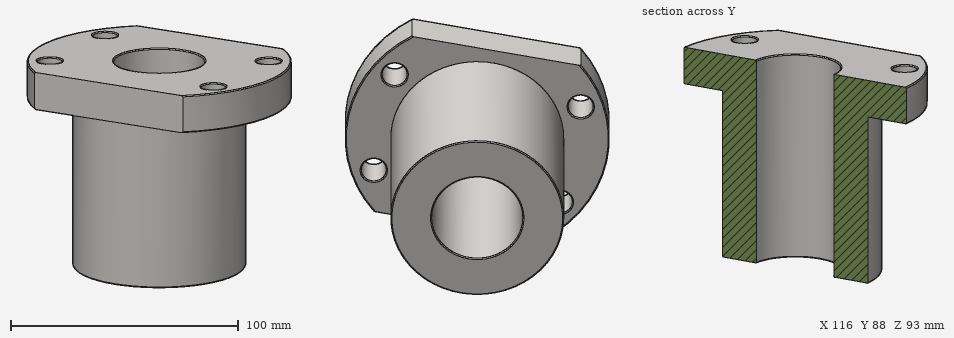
import cadquery as cq

flange_diameter = 116.0
flats_width = 88.0
flange_thickness = 16.9
total_height = 93.0
body_diameter = 76.0
bore_diameter = 40.0
bolt_hole_diameter = 11.0
bolt_circle_diameter = 96.0
bolt_angles = (30, 150, 210, 330)
edge_chamfer = 0.5

flange_bottom = total_height - flange_thickness


def chamfered_cylinder(diameter, bottom, height):
    """Upright cylinder with both rims broken by the edge chamfer."""
    cylinder = cq.Workplane("XY").workplane(offset=bottom).circle(diameter / 2).extrude(height)
    return cylinder.faces("<Z or >Z").edges().chamfer(edge_chamfer)


def chamfered_hole(diameter, bottom, height):
    """Cutter for a through hole that widens by the edge chamfer at both mouths."""
    cutter = cq.Workplane("XY").workplane(offset=bottom).circle(diameter / 2).extrude(height)
    mouth_radius = diameter / 2 + edge_chamfer
    top = bottom + height
    for mouth, inward in ((bottom, 1), (top, -1)):
        cone = cq.Solid.makeCone(
            mouth_radius, diameter / 2, edge_chamfer,
            pnt=cq.Vector(0, 0, mouth), dir=cq.Vector(0, 0, inward),
        )
        cutter = cutter.union(cq.Workplane(obj=cone))
    return cutter


flats_block = (
    cq.Workplane("XY")
    .box(flange_diameter, flats_width, flange_thickness, centered=(True, True, False))
    .translate((0, 0, flange_bottom))
)
flange = chamfered_cylinder(flange_diameter, flange_bottom, flange_thickness).intersect(flats_block)

body = cq.Workplane("XY").circle(body_diameter / 2).extrude(flange_bottom)
body = body.faces("<Z").edges().chamfer(edge_chamfer)

result = flange.union(body).cut(chamfered_hole(bore_diameter, 0, total_height))

bolt_hole = chamfered_hole(bolt_hole_diameter, flange_bottom, flange_thickness)
bolt_hole = bolt_hole.translate((bolt_circle_diameter / 2, 0, 0))
for angle in bolt_angles:
    result = result.cut(bolt_hole.rotate((0, 0, 0), (0, 0, 1), angle))